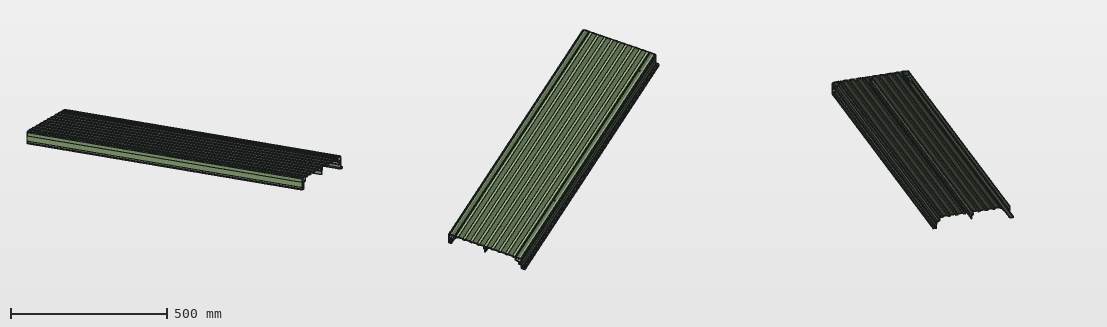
import cadquery as cq
import math

length = 1000.0
height = 47.0
deck_width = 260.0
foot_reach = 11.0
wall = 2.5
corner_chamfer = 4.3

band_count = 10
band_pitch = 25.0
ridges_per_band = 3
ridge_pitch = 4.0
ridge_half_width = 1.5
ridge_rounding = 0.6

strip_depth = 3.0
strip_top_width = 9.0
strip_bottom_width = 7.0

web_offset = 21.0
web_bend = 16.0
web_flat_z = 27.0
web_upright_z = 32.0
port_offset = 7.5
port_z = 21.0
port_radius = 5.0
port_hole_radius = 3.0

middle_port_radius = 6.0
middle_port_z = 36.0
fin_bottom = 19.0

front_wall_bottom = 4.5
box_width = 11.0
box_wall = 2.8
box_floor_top = 7.0
box_ceiling = 12.0
foot_ledge_z = 4.0
foot_ledge_width = 3.0
foot_lip_z = 7.0
foot_lip_width = 4.0
foot_root_z = 5.0
heel_relief = 1.0

ridge_height = ridge_half_width - ridge_rounding * (math.sqrt(2) - 1)
deck_top = height - ridge_height
deck_bottom = deck_top - wall
deck_middle = deck_width / 2
band_start = deck_middle - (band_count - 1) * band_pitch / 2


def extrude_outline(points):
    """Full-length bar with a closed polygon of (y, z) points as its section."""
    return cq.Workplane("YZ").polyline(points).close().extrude(length)


def block(y_min, y_max, z_min, z_max):
    return extrude_outline([(y_min, z_min), (y_max, z_min), (y_max, z_max), (y_min, z_max)])


def rod(y, z, radius):
    return cq.Workplane("YZ").center(y, z).circle(radius).extrude(length)


def mirrored(points):
    """The same outline measured from the back wall instead of the front wall."""
    return [(deck_width - y, z) for y, z in points]


def shell():
    """Deck plate and both side walls, with sloped corners of even thickness."""
    inner_chamfer = corner_chamfer - (2 - math.sqrt(2)) * wall
    front_outer = [(0, front_wall_bottom), (0, deck_top - corner_chamfer), (corner_chamfer, deck_top)]
    front_inner = [
        (wall, front_wall_bottom),
        (wall, deck_bottom - inner_chamfer),
        (wall + inner_chamfer, deck_bottom),
    ]
    back_outer = mirrored([(0, 0)] + front_outer[1:])
    back_inner = mirrored([(heel_relief, 0), (wall, foot_root_z)] + front_inner[1:])
    return extrude_outline(front_outer + back_outer[::-1] + back_inner + front_inner[::-1])


def ridge(y):
    """Triangular ridge with a rounded tip and filleted feet, centred at y on the deck."""
    tip_y = ridge_rounding / math.sqrt(2)
    tip_z = deck_top + ridge_half_width - tip_y
    half_turn = math.pi / 8
    tangent_length = ridge_rounding * math.tan(half_turn)
    foot_y = ridge_half_width + tangent_length
    arc_y = foot_y - ridge_rounding * math.sin(half_turn)
    arc_z = deck_top + ridge_rounding * (1 - math.cos(half_turn))
    flank_y = ridge_half_width - tangent_length / math.sqrt(2)
    flank_z = deck_top + tangent_length / math.sqrt(2)
    root_z = deck_top - wall / 2
    return (
        cq.Workplane("YZ")
        .moveTo(y - foot_y, deck_top)
        .threePointArc((y - arc_y, arc_z), (y - flank_y, flank_z))
        .lineTo(y - tip_y, tip_z)
        .threePointArc((y, height), (y + tip_y, tip_z))
        .lineTo(y + flank_y, flank_z)
        .threePointArc((y + arc_y, arc_z), (y + foot_y, deck_top))
        .lineTo(y + foot_y, root_z)
        .lineTo(y - foot_y, root_z)
        .close()
        .extrude(length)
    )


def strip(y):
    """Tapered stiffening strip under the deck, centred at y."""
    top = strip_top_width / 2
    bottom = strip_bottom_width / 2
    root_z = deck_bottom + wall / 2
    strip_z = deck_bottom - strip_depth
    return extrude_outline([
        (y - top, root_z),
        (y - top, deck_bottom),
        (y - bottom, strip_z),
        (y + bottom, strip_z),
        (y + top, deck_bottom),
        (y + top, root_z),
    ])


def corner_web(place):
    """Bent web closing a hollow chamber between the deck and a side wall."""
    root_z = deck_bottom + wall / 2
    return extrude_outline(place([
        (wall / 2, web_flat_z),
        (web_bend, web_flat_z),
        (web_offset + wall, web_upright_z - wall / 2),
        (web_offset + wall, root_z),
        (web_offset, root_z),
        (web_offset, web_upright_z),
        (web_bend - wall / 2, web_flat_z + wall),
        (wall / 2, web_flat_z + wall),
    ]))


def side_port(place, y_inside):
    """Screw port joined to the side wall and to the web above it; the hole is cut later."""
    base_z = port_z - port_radius
    pad_top = web_flat_z + wall / 2
    pad = extrude_outline(place([
        (wall / 2, base_z),
        (port_offset, base_z),
        (port_offset, pad_top),
        (wall / 2, pad_top),
    ]))
    return pad.union(rod(y_inside, port_z, port_radius))


def front_box():
    """Hollow box at the foot of the front wall, reaching up to its screw port."""
    box = block(0, box_width, front_wall_bottom, port_z - port_radius / 2)
    cavity = block(box_wall, box_width - box_wall, box_floor_top, box_ceiling)
    return box.cut(cavity)


def back_foot():
    """Outward foot with a low ledge, a raised lip and a slope down to the back wall."""
    foot_end = deck_width + foot_reach
    lip_outer = foot_end - foot_ledge_width
    lip_inner = lip_outer - foot_lip_width
    return extrude_outline([
        (deck_width - wall / 2, 0),
        (foot_end, 0),
        (foot_end, foot_ledge_z),
        (lip_outer, foot_ledge_z),
        (lip_outer, foot_lip_z),
        (lip_inner, foot_lip_z),
        (deck_width, foot_root_z),
        (deck_width - wall / 2, foot_root_z),
    ])


body = shell()

for band in range(band_count):
    band_y = band_start + band * band_pitch
    for index in range(ridges_per_band):
        ridge_y = band_y + (index - (ridges_per_band - 1) / 2) * ridge_pitch
        body = body.union(ridge(ridge_y))

for land in range(band_count - 1):
    body = body.union(strip(band_start + (land + 0.5) * band_pitch))

body = body.union(front_box()).union(back_foot())

port_positions = [(list, port_offset), (mirrored, deck_width - port_offset)]
for place, port_y in port_positions:
    body = body.union(corner_web(place)).union(side_port(place, port_y))
    body = body.cut(rod(port_y, port_z, port_hole_radius))

body = body.union(rod(deck_middle, middle_port_z, middle_port_radius))
body = body.union(block(deck_middle - wall / 2, deck_middle + wall / 2, fin_bottom, middle_port_z))
body = body.cut(rod(deck_middle, middle_port_z, port_hole_radius))

result = body